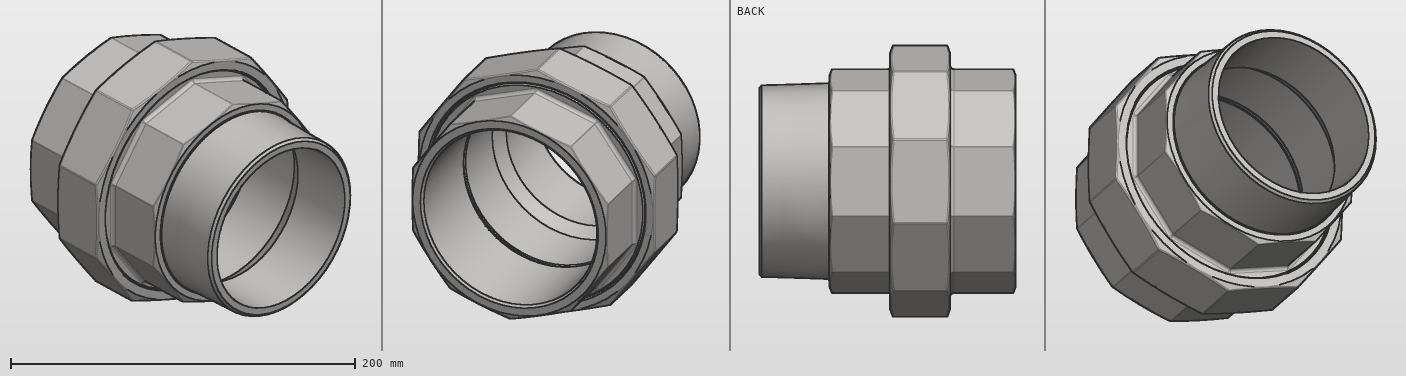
import cadquery as cq
import math

TOTAL_LENGTH = 149.0
SIDES = 10
FACET_ANGLE = 360 / SIDES

FEMALE_FACE_X = -TOTAL_LENGTH / 2
MALE_END_X = TOTAL_LENGTH / 2
NUT_LEFT_X = -36.4
NUT_RIGHT_X = -1.4
WRENCH_RIGHT_X = 33.7

NUT_ACROSS_FLATS = 150.0
NUT_CORNER_RADIUS = 1.5
NUT_BEVEL_DIAMETER = 148.6
NUT_BEVEL_ANGLE = 20
NUT_BEVEL_FILLET = 1.0
NUT_BORE = 137.9
NUT_MOUTH_DIAMETER = 140.0

BODY_ACROSS_FLATS = 123.9
BODY_CORNER_RADIUS = 0.5
BODY_BEVEL_DIAMETER = 123.0
BODY_BEVEL_ANGLE = 22
BODY_BEVEL_FILLET = 0.5
ROOT_FILLET = 2.2
FLANGE_CHAMFER_DIAMETER = 136.0
MALE_FLANGE_RECESS = 1.1
WATERWAY = 100.0
SEAT_X = -16.4

WIDE_BORE = 110.0
THREAD_MOUTH = 113.0
TAPER_ANGLE = 30
MALE_MOUTH_CHAMFER = 0.8

SHOULDER_DIAMETER = 115.0
SHOULDER_LENGTH = 0.5
SPIGOT_ROOT_DIAMETER = 114.0
SPIGOT_TIP_DIAMETER = 111.5
SPIGOT_CHAMFER = 1.5

SEAL_THICKNESS = 2.4
SEAL_INNER_DIAMETER = WIDE_BORE + 2 * MALE_MOUTH_CHAMFER

BEVEL_REACH = 18.9


def revolve_about_x(points):
    """Solid of revolution about X from (x, radius) points."""
    return cq.Workplane("XY").polyline(points).close().revolve(360, (0, 0, 0), (1, 0, 0))


def cylinder(diameter, x_start, x_end):
    return cq.Workplane("YZ", origin=(x_start, 0, 0)).circle(diameter / 2).extrude(x_end - x_start)


def frustum(x_start, diameter_start, x_end, diameter_end):
    return revolve_about_x(
        [(x_start, 0), (x_start, diameter_start / 2), (x_end, diameter_end / 2), (x_end, 0)]
    )


def decagon_prism(across_flats, corner_radius, x_start, x_end):
    """Decagonal prism along X with rounded corners, one of them at +Z."""
    across_corners = across_flats / math.cos(math.pi / SIDES)
    return (
        cq.Workplane("YZ", origin=(x_start, 0, 0))
        .transformed(rotate=(0, 0, FACET_ANGLE / 2))
        .polygon(SIDES, across_corners)
        .extrude(x_end - x_start)
        .edges("|X")
        .fillet(corner_radius)
    )


def bevel_corners(prism, bevel_diameter, bevel_angle, edge_radius, x_face, x_far):
    """Bevel the decagon corners at x_face with a cone and round the resulting edges."""
    direction = math.copysign(1, x_far - x_face)
    run = BEVEL_REACH * math.tan(math.radians(bevel_angle))
    x_widest = x_face + direction * run
    widest = bevel_diameter / 2 + BEVEL_REACH
    envelope = revolve_about_x(
        [(x_face, 0), (x_face, bevel_diameter / 2), (x_widest, widest), (x_far, widest), (x_far, 0)]
    )
    beveled = prism.intersect(envelope)
    nearest_cone = beveled.faces("%CONE").faces("<X" if direction > 0 else ">X")
    return nearest_cone.edges("not (%CIRCLE or %LINE)").fillet(edge_radius)


def flange(x_face, x_back):
    """Disc that fills the nut bore, its rim chamfered at x_face."""
    chamfer = (NUT_BORE - FLANGE_CHAMFER_DIAMETER) / 2
    direction = math.copysign(1, x_back - x_face)
    x_rim = x_face + direction * chamfer
    return frustum(x_face, FLANGE_CHAMFER_DIAMETER, x_rim, NUT_BORE).union(cylinder(NUT_BORE, x_rim, x_back))


def fillet_root(body, x_face):
    """Fillet the corner between a decagon and the flange face at x_face."""
    tolerance = 0.02
    reach = FLANGE_CHAMFER_DIAMETER / 2 - tolerance
    root_box = cq.selectors.BoxSelector(
        (x_face - tolerance, -reach, -reach), (x_face + tolerance, reach, reach), boundingbox=True
    )
    return body.edges(root_box).fillet(ROOT_FILLET)


def build_nut():
    nut = decagon_prism(NUT_ACROSS_FLATS, NUT_CORNER_RADIUS, NUT_LEFT_X, NUT_RIGHT_X)
    nut = bevel_corners(nut, NUT_BEVEL_DIAMETER, NUT_BEVEL_ANGLE, NUT_BEVEL_FILLET, NUT_LEFT_X, NUT_RIGHT_X)
    nut = bevel_corners(nut, NUT_BEVEL_DIAMETER, NUT_BEVEL_ANGLE, NUT_BEVEL_FILLET, NUT_RIGHT_X, NUT_LEFT_X)
    mouth_depth = (NUT_MOUTH_DIAMETER - NUT_BORE) / 2
    nut = nut.cut(cylinder(NUT_BORE, NUT_LEFT_X, NUT_RIGHT_X))
    return nut.cut(frustum(NUT_LEFT_X, NUT_MOUTH_DIAMETER, NUT_LEFT_X + mouth_depth, NUT_BORE))


def build_female_body():
    wrench = decagon_prism(BODY_ACROSS_FLATS, BODY_CORNER_RADIUS, FEMALE_FACE_X, SEAT_X)
    wrench = bevel_corners(
        wrench, BODY_BEVEL_DIAMETER, BODY_BEVEL_ANGLE, BODY_BEVEL_FILLET, FEMALE_FACE_X, SEAT_X
    )
    body = wrench.union(flange(NUT_LEFT_X, SEAT_X))
    body = fillet_root(body, NUT_LEFT_X)
    chamfer = (THREAD_MOUTH - WIDE_BORE) / 2
    body = body.cut(frustum(FEMALE_FACE_X, THREAD_MOUTH, FEMALE_FACE_X + chamfer, WIDE_BORE))
    return body.cut(cylinder(WIDE_BORE, FEMALE_FACE_X, SEAT_X))


def build_seal():
    return cylinder(NUT_BORE, SEAT_X, SEAT_X + SEAL_THICKNESS).cut(
        cylinder(SEAL_INNER_DIAMETER, SEAT_X, SEAT_X + SEAL_THICKNESS)
    )


def build_male_body():
    start_x = SEAT_X + SEAL_THICKNESS
    flange_x = NUT_RIGHT_X - MALE_FLANGE_RECESS
    wrench = decagon_prism(BODY_ACROSS_FLATS, BODY_CORNER_RADIUS, start_x, WRENCH_RIGHT_X)
    wrench = bevel_corners(
        wrench, BODY_BEVEL_DIAMETER, BODY_BEVEL_ANGLE, BODY_BEVEL_FILLET, WRENCH_RIGHT_X, start_x
    )
    body = wrench.union(flange(flange_x, start_x))
    body = fillet_root(body, flange_x)
    shoulder_x = WRENCH_RIGHT_X + SHOULDER_LENGTH
    body = body.union(cylinder(SHOULDER_DIAMETER, WRENCH_RIGHT_X, shoulder_x))
    spigot = frustum(shoulder_x, SPIGOT_ROOT_DIAMETER, MALE_END_X, SPIGOT_TIP_DIAMETER)
    body = body.union(spigot.faces(">X").chamfer(SPIGOT_CHAMFER))
    taper_length = (WIDE_BORE - WATERWAY) / 2 / math.tan(math.radians(TAPER_ANGLE))
    taper_x = WRENCH_RIGHT_X - taper_length
    body = body.cut(frustum(start_x, SEAL_INNER_DIAMETER, start_x + MALE_MOUTH_CHAMFER, WIDE_BORE))
    body = body.cut(cylinder(WIDE_BORE, start_x, taper_x))
    body = body.cut(frustum(taper_x, WIDE_BORE, WRENCH_RIGHT_X, WATERWAY))
    return body.cut(cylinder(WATERWAY, WRENCH_RIGHT_X, MALE_END_X))


female_body = build_female_body()
nut = build_nut()
seal = build_seal()
male_body = build_male_body()

result = cq.Compound.makeCompound([female_body.val(), nut.val(), seal.val(), male_body.val()])